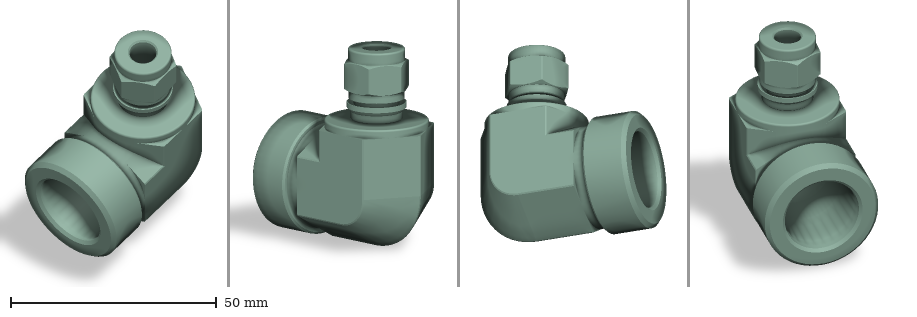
import cadquery as cq
import math


BODY_FLATS = 25.4
BODY_CORNERS = 29.1
BRANCH_HEX_END = 15.0
PORT_HEX_END = 14.6

COLLAR_TOP = 17.0
COLLAR_EDGE_RADIUS = 0.5

PORT_DIAMETER = 28.9
PORT_FACE = 28.55
PORT_BACK = 17.4
PORT_BACK_CHAMFER = 0.5
PORT_FACE_CHAMFER = 1.0
NECK_FILLET_RADIUS = 1.0
NECK_FILLET_START = 16.6

MOUTH_DIAMETER = 20.3
THREAD_DIAMETER = 18.85
BORE_DIAMETER = 18.0
THREAD_TAPER = 1 / 16

TUBE_END_TOP = 34.8
NUT_FLATS = 14.3
NUT_CORNERS = 16.4
NUT_TOP_DIAMETER = 13.9
NUT_TOP_EDGE_RADIUS = 0.5
NUT_LOWER_DIAMETER = 13.6
NUT_LOWER_CHAMFER = 0.2
NUT_HEX_TOP = 31.8
NUT_HEX_BOTTOM = 24.15
NUT_BOTTOM = 22.1
NUT_BEVEL_ANGLE = 30
STEM_DIAMETER = 11.1
STEM_BOTTOM = 20.7
STEM_NECK_DIAMETER = 10.1
FLANGE_TOP = 21.3
FLANGE_BOTTOM = 20.05
FLANGE_DIAMETER = 14.6
FLANGE_DISH_DIAMETER = 14.15
FOOT_DIAMETER = 12.6
FOOT_CHAMFER = 0.2

PASSAGE_DIAMETER = 4.85
SOCKET_DIAMETER = 6.55
SOCKET_MOUTH_DIAMETER = 7.35
SOCKET_DEPTH = 15.3


def trimmed_hexagon(flats, corners):
    """Corner points of a hexagon with flats at +-X and blunted corners, from -30 deg counterclockwise."""
    apothem = flats / 2
    blunt_half_width = (apothem / math.cos(math.pi / 6) - corners / 2) * math.tan(math.pi / 3)
    points = []
    for corner in range(6):
        angle = math.radians(60 * corner - 30)
        for side in (-blunt_half_width, blunt_half_width):
            x = corners / 2 * math.cos(angle) - side * math.sin(angle)
            y = corners / 2 * math.sin(angle) + side * math.cos(angle)
            points.append((x, y))
    return points


def turned(points):
    """Solid of revolution about Z from (radius, height) points."""
    return cq.Workplane("XZ").polyline(points).close().revolve(360, (0, 0, 0), (0, 1, 0))


def along_port(solid):
    """Turn an upright solid to point along -Y, with its -Y side facing up."""
    return solid.rotate((0, 0, 0), (0, 0, 1), 180).rotate((0, 0, 0), (1, 0, 0), 90)


def limb(hexagon_end, round_end):
    """Upright limb: a hexagon whose -Y corner gives way to the inscribed cylinder, which runs on above."""
    radius = BODY_FLATS / 2
    tangent_x = radius * math.sin(math.pi / 6)
    tangent_y = -radius * math.cos(math.pi / 6)
    kept_points = trimmed_hexagon(BODY_FLATS, BODY_CORNERS)[:10]
    outline = [(tangent_x, tangent_y)] + kept_points + [(-tangent_x, tangent_y)]
    hexagon = cq.Workplane("XY").polyline(outline).close().extrude(hexagon_end)
    return hexagon.union(cq.Workplane("XY").circle(radius).extrude(round_end))


def bend():
    """Outer corner of the elbow: half the hexagon swung about X from +Y down to -Z."""
    half_hexagon = trimmed_hexagon(BODY_FLATS, BODY_CORNERS)[2:8]
    outline = [(BODY_FLATS / 2, 0)] + half_hexagon + [(-BODY_FLATS / 2, 0)]
    return cq.Workplane("XY").polyline(outline).close().revolve(90, (0, 0, 0), (-1, 0, 0))


def branch_limb():
    """Limb along +Z, topped by a collar with a rounded rim."""
    return limb(BRANCH_HEX_END, COLLAR_TOP).faces(">Z").edges().fillet(COLLAR_EDGE_RADIUS)


def port():
    """Ring of the port, chamfered at both ends, with a partial fillet at its root."""
    neck_radius = BODY_FLATS / 2
    port_radius = PORT_DIAMETER / 2

    def on_fillet(height):
        run = height - NECK_FILLET_START
        return neck_radius + NECK_FILLET_RADIUS - math.sqrt(NECK_FILLET_RADIUS**2 - run**2)

    fillet_middle = (NECK_FILLET_START + PORT_BACK) / 2
    profile = (
        cq.Workplane("XZ")
        .moveTo(0, NECK_FILLET_START)
        .lineTo(neck_radius, NECK_FILLET_START)
        .threePointArc((on_fillet(fillet_middle), fillet_middle), (on_fillet(PORT_BACK), PORT_BACK))
        .lineTo(port_radius - PORT_BACK_CHAMFER, PORT_BACK)
        .lineTo(port_radius, PORT_BACK + PORT_BACK_CHAMFER)
        .lineTo(port_radius, PORT_FACE - PORT_FACE_CHAMFER)
        .lineTo(port_radius - PORT_FACE_CHAMFER, PORT_FACE)
        .lineTo(0, PORT_FACE)
        .close()
    )
    return along_port(profile.revolve(360, (0, 0, 0), (0, 1, 0)))


def port_bore():
    """Tapered bore whose ball end just touches the far wall of the branch passage."""
    mouth_radius = MOUTH_DIAMETER / 2
    thread_radius = THREAD_DIAMETER / 2
    bore_radius = BORE_DIAMETER / 2
    thread_start = PORT_FACE - (mouth_radius - thread_radius)
    thread_end = thread_start - (THREAD_DIAMETER - BORE_DIAMETER) / THREAD_TAPER
    ball_center = bore_radius - PASSAGE_DIAMETER / 2
    straight_bore = along_port(turned([
        (0, ball_center),
        (bore_radius, ball_center),
        (bore_radius, thread_end),
        (thread_radius, thread_start),
        (mouth_radius, PORT_FACE),
        (0, PORT_FACE),
    ]))
    ball = cq.Workplane("XY", origin=(0, -ball_center, 0)).sphere(bore_radius)
    return straight_bore.union(ball)


def tube_stem():
    """Foot, dished flange and stem between the collar and the nut."""
    foot_radius = FOOT_DIAMETER / 2
    flange_radius = FLANGE_DIAMETER / 2
    dish_radius = FLANGE_DISH_DIAMETER / 2
    stem_radius = STEM_DIAMETER / 2
    neck_radius = STEM_NECK_DIAMETER / 2
    return turned([
        (0, 0),
        (foot_radius - FOOT_CHAMFER, 0),
        (foot_radius - FOOT_CHAMFER, COLLAR_TOP),
        (foot_radius, COLLAR_TOP + FOOT_CHAMFER),
        (foot_radius, FLANGE_BOTTOM - (flange_radius - foot_radius)),
        (flange_radius, FLANGE_BOTTOM),
        (flange_radius, FLANGE_TOP),
        (dish_radius, FLANGE_TOP),
        (neck_radius, FLANGE_TOP - (dish_radius - neck_radius)),
        (neck_radius, STEM_BOTTOM - (stem_radius - neck_radius)),
        (stem_radius, STEM_BOTTOM),
        (stem_radius, NUT_BOTTOM),
        (0, NUT_BOTTOM),
    ])


def nut():
    """Hexagonal nut, beveled at both ends, with a round collar above and below."""
    bevel_radius = NUT_TOP_DIAMETER / 2
    corner_radius = NUT_CORNERS / 2
    bevel_drop = (corner_radius - bevel_radius) * math.tan(math.radians(NUT_BEVEL_ANGLE))
    bevel_limits = turned([
        (0, NUT_HEX_BOTTOM),
        (bevel_radius, NUT_HEX_BOTTOM),
        (corner_radius, NUT_HEX_BOTTOM + bevel_drop),
        (corner_radius, NUT_HEX_TOP - bevel_drop),
        (bevel_radius, NUT_HEX_TOP),
        (0, NUT_HEX_TOP),
    ])
    hexagon = cq.Workplane("XY").polyline(trimmed_hexagon(NUT_FLATS, NUT_CORNERS)).close()
    hexagon = hexagon.extrude(NUT_HEX_TOP).intersect(bevel_limits)
    upper_collar = cq.Workplane("XY", origin=(0, 0, NUT_HEX_TOP)).circle(bevel_radius)
    upper_collar = upper_collar.extrude(TUBE_END_TOP - NUT_HEX_TOP)
    upper_collar = upper_collar.faces(">Z").edges().fillet(NUT_TOP_EDGE_RADIUS)
    lower_collar = cq.Workplane("XY", origin=(0, 0, NUT_BOTTOM)).circle(NUT_LOWER_DIAMETER / 2)
    lower_collar = lower_collar.extrude(NUT_HEX_BOTTOM - NUT_BOTTOM)
    lower_collar = lower_collar.faces("<Z").edges().chamfer(NUT_LOWER_CHAMFER)
    return hexagon.union(upper_collar).union(lower_collar)


def branch_passage():
    """Passage down to the port axis, with a chamfered tube socket at the top."""
    passage_radius = PASSAGE_DIAMETER / 2
    socket_radius = SOCKET_DIAMETER / 2
    mouth_radius = SOCKET_MOUTH_DIAMETER / 2
    return turned([
        (0, 0),
        (passage_radius, 0),
        (passage_radius, TUBE_END_TOP - SOCKET_DEPTH),
        (socket_radius, TUBE_END_TOP - SOCKET_DEPTH),
        (socket_radius, TUBE_END_TOP - (mouth_radius - socket_radius)),
        (mouth_radius, TUBE_END_TOP),
        (0, TUBE_END_TOP),
    ])


port_limb = along_port(limb(PORT_HEX_END, NECK_FILLET_START))
body = branch_limb().union(port_limb).union(bend())
fitting = body.union(port()).union(tube_stem()).union(nut())
result = fitting.cut(port_bore().union(branch_passage()))